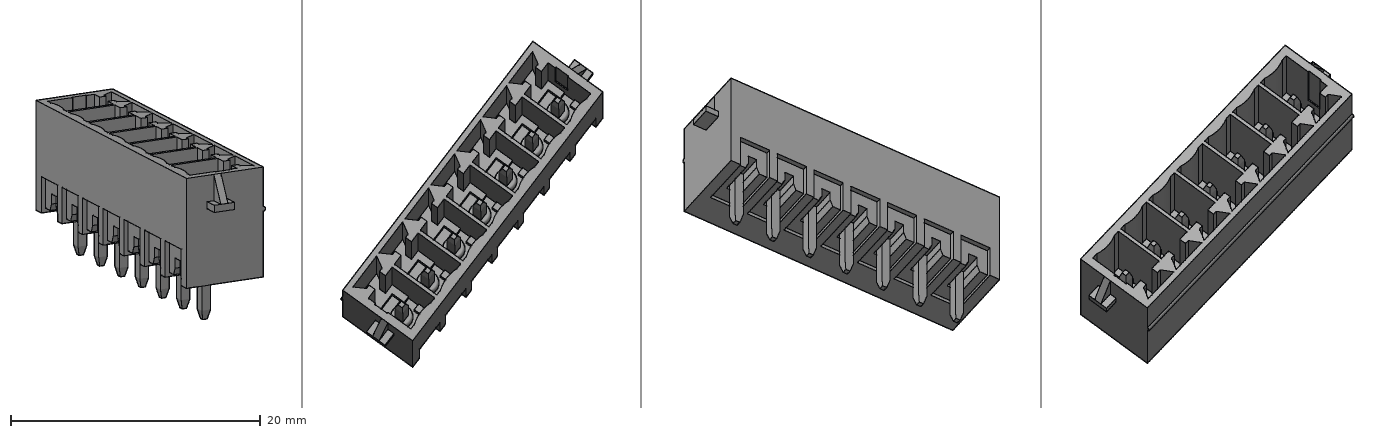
import cadquery as cq

pole_count = 7
pitch = 3.5
pole_centres = [(i - (pole_count - 1) / 2) * pitch for i in range(pole_count)]

end_margin = 0.55
housing_length = pole_count * pitch + 2 * end_margin
housing_front = -2.8
housing_back = 4.2
housing_height = 9.2

bead_radius = 0.2
bead_height = 5.7

partition = 0.3
cell_half_width = (pitch - partition) / 2
cell_front = -2.1
cell_back = 3.7
bulge_half_width = 1.1
bulge_height = 0.2
chamber_back = 2.15
neck_half_width = 0.7
neck_back = 2.75
dovetail_half_width = 1.05
ledge_level = 3.1

pocket_level = 2.5
pocket_width = 2.0
pocket_back = 1.7
cross_band_width = 1.0
boss_diameter = 1.8
boss_top_diameter = 1.4
boss_fillet = (boss_diameter - boss_top_diameter) / 2

relief_depth = 0.1
relief_front = 0.2
relief_back = 1.45
relief_bottom = 4.5

window_width = 2.75
window_height = 3.05
window_depth = 0.4
window_back = housing_front + window_depth
foot_gap = 0.35
notch_height = 1.8
flare_top = 0.95
flare_half_width = 0.65

latch_reach = 1.2
latch_width = 1.85
latch_thickness = 0.6
latch_drop = 2.2
latch_top = housing_height - latch_drop
latch_rib_width = 0.65

pin_side = 0.8
pin_bottom = -3.5
pin_top = 7.0
tip_length = 0.8
tip_side = 0.4


def box(x_range, y_range, z_range):
    """Axis-aligned box between the given limits."""
    return (
        cq.Workplane("XY")
        .box(
            x_range[1] - x_range[0],
            y_range[1] - y_range[0],
            z_range[1] - z_range[0],
            centered=False,
        )
        .translate((x_range[0], y_range[0], z_range[0]))
    )


def centred_range(width):
    """Limits of a span centred on zero."""
    return (-width / 2, width / 2)


def make_block():
    """Plain housing block with the half-round bead on its back face."""
    block = box(centred_range(housing_length), (housing_front, housing_back), (0, housing_height))
    bead = (
        cq.Workplane("YZ")
        .center(housing_back, bead_height)
        .circle(bead_radius)
        .extrude(housing_length / 2, both=True)
    )
    return block.union(bead)


def cell_prism(floor):
    """Plug cell: chamber with a bulged front wall, leading through a neck into a dovetail."""
    return (
        cq.Workplane("XY", origin=(0, 0, floor))
        .moveTo(-cell_half_width, cell_front)
        .lineTo(-bulge_half_width, cell_front)
        .threePointArc((0, cell_front + bulge_height), (bulge_half_width, cell_front))
        .lineTo(cell_half_width, cell_front)
        .lineTo(cell_half_width, chamber_back)
        .lineTo(neck_half_width, chamber_back)
        .lineTo(neck_half_width, neck_back)
        .lineTo(dovetail_half_width, neck_back)
        .lineTo(cell_half_width, cell_back)
        .lineTo(-cell_half_width, cell_back)
        .lineTo(-dovetail_half_width, neck_back)
        .lineTo(-neck_half_width, neck_back)
        .lineTo(-neck_half_width, chamber_back)
        .lineTo(-cell_half_width, chamber_back)
        .close()
        .extrude(housing_height - floor)
    )


def make_boss():
    """Round boss with a filleted rim that carries the pin above the pocket floor."""
    return (
        cq.Workplane("XY", origin=(0, 0, pocket_level))
        .circle(boss_diameter / 2)
        .extrude(ledge_level - pocket_level)
        .faces(">Z")
        .fillet(boss_fillet)
    )


def floor_pocket():
    """Cross-shaped floor pocket, trimmed to the cell outline, around the boss."""
    depth = (pocket_level, ledge_level)
    lengthwise = box(centred_range(pocket_width), (cell_front, pocket_back), depth)
    crosswise = box(centred_range(2 * cell_half_width), centred_range(cross_band_width), depth)
    cross = lengthwise.union(crosswise)
    return cross.intersect(cell_prism(pocket_level)).cut(make_boss())


def boss_clearance():
    """Space above the cell floor and around the boss, as one cutter."""
    return cell_prism(ledge_level).union(floor_pocket())


def foot_opening():
    """Front window, gap under the foot, and the flared notch that the pin passes through."""
    window = box(centred_range(window_width), (housing_front, window_back), (0, window_height))
    gap = box(centred_range(window_width), (window_back, pocket_back), (0, foot_gap))
    half_pin = pin_side / 2
    notch = (
        cq.Workplane("XZ", origin=(0, half_pin, 0))
        .moveTo(-flare_half_width, foot_gap)
        .lineTo(-half_pin, flare_top)
        .lineTo(-half_pin, notch_height)
        .lineTo(half_pin, notch_height)
        .lineTo(half_pin, flare_top)
        .lineTo(flare_half_width, foot_gap)
        .close()
        .extrude(half_pin - window_back)
    )
    return window.union(gap).union(notch)


def pin_hole():
    """Square through hole that fits the pin."""
    return box(centred_range(pin_side), centred_range(pin_side), (0, ledge_level))


def make_latch():
    """Latch on the +X end: a flat plate braced by a sloping rib."""
    wall = housing_length / 2
    outer = wall + latch_reach
    plate = box((wall, outer), centred_range(latch_width), (latch_top - latch_thickness, latch_top))
    rib = (
        cq.Workplane("XZ")
        .moveTo(wall, latch_top)
        .lineTo(outer, latch_top)
        .lineTo(wall, housing_height)
        .close()
        .extrude(latch_rib_width / 2, both=True)
    )
    return plate.union(rib)


def end_relief():
    """Shallow relief, open at the top, in the +X end wall of the last cell."""
    wall = pole_centres[-1] + cell_half_width
    return box((wall, wall + relief_depth), (relief_front, relief_back), (relief_bottom, housing_height))


def make_housing():
    """Housing with all of its cells, openings, pin holes and latches."""
    body = make_block()
    pole_cutter = boss_clearance().union(foot_opening()).union(pin_hole())
    for x in pole_centres:
        body = body.cut(pole_cutter.translate((x, 0, 0)))
    relief = end_relief()
    latch = make_latch()
    body = body.cut(relief).cut(relief.mirror("YZ"))
    return body.union(latch).union(latch.mirror("YZ"))


def make_pin(x):
    """Square pin with a tapered tip at each end."""
    shank_bottom = pin_bottom + tip_length
    shank_top = pin_top - tip_length
    shank = box(centred_range(pin_side), centred_range(pin_side), (shank_bottom, shank_top))
    top_tip = (
        cq.Workplane("XY", origin=(0, 0, shank_top))
        .rect(pin_side, pin_side)
        .workplane(offset=tip_length)
        .rect(tip_side, tip_side)
        .loft(ruled=True)
    )
    bottom_tip = (
        cq.Workplane("XY", origin=(0, 0, pin_bottom))
        .rect(tip_side, tip_side)
        .workplane(offset=tip_length)
        .rect(pin_side, pin_side)
        .loft(ruled=True)
    )
    return shank.union(top_tip).union(bottom_tip).translate((x, 0, 0))


housing = make_housing()
pins = [make_pin(x) for x in pole_centres]

result = cq.Compound.makeCompound([housing.val(), *[pin.val() for pin in pins]])